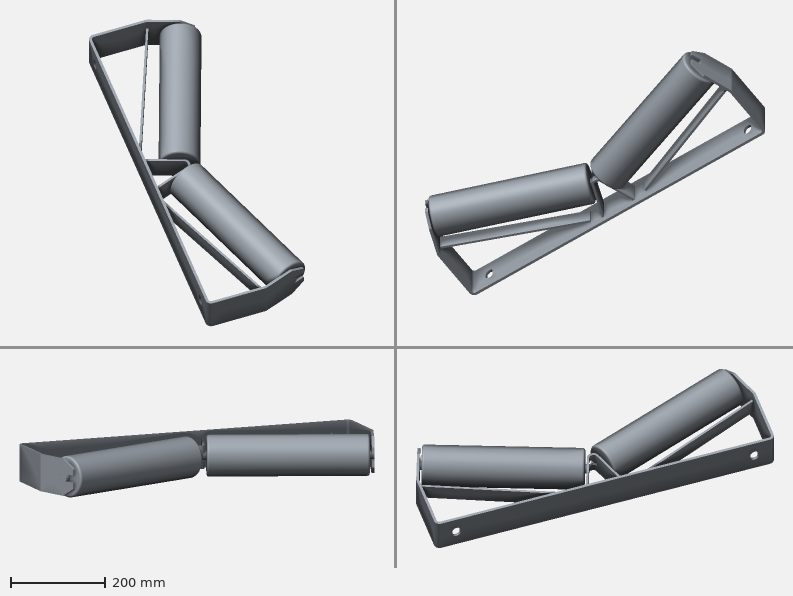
import cadquery as cq
import math

tilt = 20.0
frame_width = 80.0

frame_length = 760.0
frame_thickness = 6.0
frame_bend_radius = 12.0
arm_corner_height = 132.2
axis_along_arm = 73.3
arm_tip_beyond_axis = 30.5
arm_chamfer_length = 33.0
arm_chamfer_width = 18.5

mounting_slot_spacing = 667.0
mounting_slot_width = 18.0
mounting_slot_length = 26.0

roller_diameter = 89.0
roller_length = 346.5
roller_edge_radius = 5.0
roller_gap = 4.0
shaft_diameter = 20.0
shaft_flat_width = 16.0
flat_overrun = 2.0

bracket_width = 50.0
bracket_thickness = 5.0
bracket_height = 95.5
bracket_bend_radius = 12.0

brace_thickness = 5.0
brace_width = 36.0
brace_wall_height = 130.0
brace_foot_x = 72.0

tilt_sin = math.sin(math.radians(tilt))
tilt_cos = math.cos(math.radians(tilt))
tilt_tan = math.tan(math.radians(tilt))
half_length = frame_length / 2
shaft_radius = shaft_diameter / 2

axis_start_x = -half_length + axis_along_arm * tilt_sin
axis_start_y = arm_corner_height + axis_along_arm * tilt_cos
roller_start = frame_thickness + roller_gap
bracket_face = roller_start + roller_length + roller_gap
shaft_length = bracket_face + bracket_thickness


def place_on_left_axis(body):
    """Move a body built along local X onto the left roller axis."""
    turned = body.rotate((0, 0, 0), (0, 0, 1), -tilt)
    return turned.translate((axis_start_x, axis_start_y, 0))


def mirrored(body):
    return body.mirror("YZ")


def round_upright_edges(body, points, radius):
    """Fillet the Z edge at each (x, y) point and at its mirror image."""
    for x, y in points:
        for side in (1, -1):
            edge = cq.NearestToPointSelector((side * x, y, 0))
            body = body.edges("|Z").edges(edge).fillet(radius)
    return body


def strap(half_outline, width):
    """Extrude the left half of a symmetric outline and its mirror image as one body."""
    right_half = [(-x, y) for x, y in reversed(half_outline)]
    outline = cq.Workplane("XY").polyline(half_outline + right_half).close()
    return outline.extrude(width / 2, both=True)


def shaft_slot(start, length):
    """Open-topped slot for the shaft flats, running up from a round bottom."""
    reach = 2 * roller_diameter
    round_bottom = cq.Workplane("YZ").circle(shaft_radius).extrude(length)
    open_top = cq.Workplane("XY").box(length, reach, shaft_diameter, centered=(False, False, True))
    between_flats = cq.Workplane("XY").box(
        length, 2 * reach, shaft_flat_width, centered=(False, True, True)
    )
    slot = round_bottom.union(open_top).intersect(between_flats)
    return place_on_left_axis(slot.translate((start, 0, 0)))


def make_frame():
    t = frame_thickness
    arm_length = axis_along_arm + arm_tip_beyond_axis
    tip_x = -half_length + arm_length * tilt_sin
    tip_y = arm_corner_height + arm_length * tilt_cos
    outer_corner = (-half_length, 0)
    outer_kink = (-half_length, arm_corner_height)
    inner_corner = (-half_length + t, t)
    inner_kink = (-half_length + t, arm_corner_height - t * math.tan(math.radians(tilt / 2)))
    outer_tip = (tip_x, tip_y)
    inner_tip = (tip_x + t * tilt_cos, tip_y - t * tilt_sin)
    left_half = [inner_corner, inner_kink, inner_tip, outer_tip, outer_kink, outer_corner]
    frame = strap(left_half, frame_width)
    frame = round_upright_edges(frame, [outer_corner, outer_kink], frame_bend_radius)
    frame = round_upright_edges(frame, [inner_corner, inner_kink], frame_bend_radius - t)

    edge = frame_width / 2
    corner_cut = (
        cq.Workplane("YZ")
        .moveTo(arm_tip_beyond_axis, edge)
        .lineTo(arm_tip_beyond_axis - arm_chamfer_length, edge)
        .lineTo(arm_tip_beyond_axis, edge - arm_chamfer_width)
        .close()
        .extrude(2 * t, both=True)
    )
    waste = place_on_left_axis(corner_cut.union(corner_cut.mirror("XY")))
    slot = shaft_slot(-t, 2 * t)
    frame = frame.cut(waste).cut(mirrored(waste)).cut(slot).cut(mirrored(slot))

    mounting_slots = (
        cq.Workplane("XZ")
        .pushPoints([(-mounting_slot_spacing / 2, 0), (mounting_slot_spacing / 2, 0)])
        .slot2D(mounting_slot_length, mounting_slot_width, 90)
        .extrude(-t)
    )
    return frame.cut(mounting_slots)


def make_bracket():
    t = bracket_thickness
    base_y = frame_thickness
    face_x = axis_start_x + bracket_face * tilt_cos
    face_y = axis_start_y - bracket_face * tilt_sin

    def outer_x(y):
        return face_x + (y - face_y) * tilt_tan

    def inner_x(y):
        return outer_x(y) + t / tilt_cos

    inner_height = bracket_height - t
    outer_bend = (outer_x(bracket_height), bracket_height)
    inner_bend = (inner_x(inner_height), inner_height)
    outer_foot = (outer_x(base_y), base_y)
    inner_foot = (inner_x(base_y), base_y)
    left_half = [inner_bend, inner_foot, outer_foot, outer_bend]
    bracket = strap(left_half, bracket_width)
    bracket = round_upright_edges(bracket, [outer_bend], bracket_bend_radius)
    bracket = round_upright_edges(bracket, [inner_bend], bracket_bend_radius - t)
    slot = shaft_slot(bracket_face - t, 3 * t)
    return bracket.cut(slot).cut(mirrored(slot))


def shaft_end_waste(start, length):
    """Material milled off one shaft end to leave two flats facing up and down Z."""
    along_axis = (False, True, True)
    end = cq.Workplane("XY").box(length, shaft_diameter, shaft_diameter, centered=along_axis)
    kept = cq.Workplane("XY").box(length, shaft_diameter, shaft_flat_width, centered=along_axis)
    return end.cut(kept).translate((start, 0, 0))


def make_left_roller():
    drum = (
        cq.Workplane("YZ", origin=(roller_start, 0, 0))
        .circle(roller_diameter / 2)
        .extrude(roller_length)
        .edges()
        .fillet(roller_edge_radius)
    )
    shaft = cq.Workplane("YZ").circle(shaft_radius).extrude(shaft_length)
    arm_flats = shaft_end_waste(0, frame_thickness + flat_overrun)
    bracket_flats = shaft_end_waste(bracket_face - flat_overrun, bracket_thickness + flat_overrun)
    shaft = shaft.cut(arm_flats).cut(bracket_flats)
    return place_on_left_axis(drum.union(shaft))


def make_left_brace():
    wall_x = -half_length + frame_thickness
    run = -brace_foot_x - wall_x
    drop = brace_wall_height - frame_thickness
    slope = math.degrees(math.atan2(drop, run))
    bar = cq.Workplane("XY").box(
        math.hypot(run, drop), brace_thickness, brace_width, centered=(False, False, True)
    )
    return bar.rotate((0, 0, 0), (0, 0, 1), -slope).translate((wall_x, brace_wall_height, 0))


frame = make_frame()
bracket = make_bracket()
bodies = [frame.val(), bracket.val()]
for left_body in (make_left_roller(), make_left_brace()):
    bodies.append(left_body.val())
    bodies.append(mirrored(left_body).val())

result = cq.Compound.makeCompound(bodies)